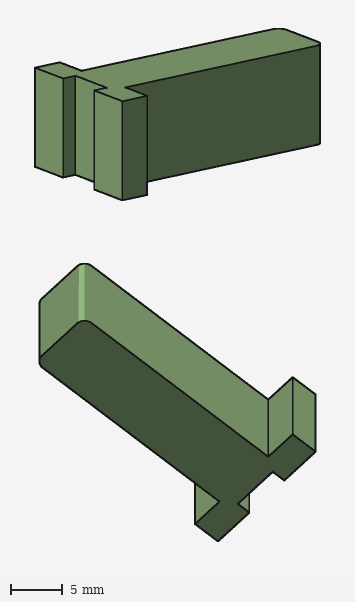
import cadquery as cq

length = 27.0
height = 10.0
flange_width = 14.0

flange_thickness = 3.0
stem_width = flange_width / 2
stem_corner_radius = 1.0

slot_width = 5.0
slot_depth = flange_thickness / 2


def block(width, depth, front_y):
    """Full-height block centred on X and Z, reaching from front_y towards +Y."""
    return cq.Workplane("XY").box(width, depth, height, centered=(True, False, True)).translate((0, front_y, 0))


stem = block(stem_width, length, 0).faces(">Y").edges("|Z").fillet(stem_corner_radius)
flange = block(flange_width, flange_thickness, 0)
slot = block(slot_width, slot_depth, 0)

result = stem.union(flange).cut(slot)